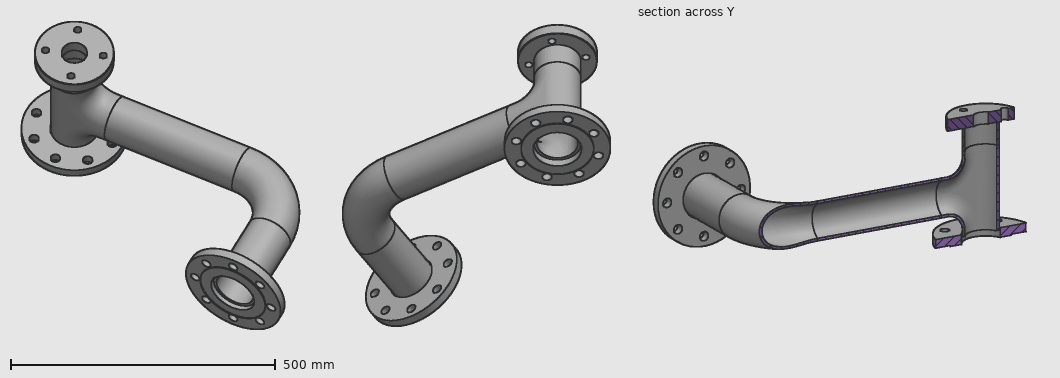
import cadquery as cq
import math

overall_length = 670.0
overall_depth = 370.0
bottom_reach = 100.5
top_reach = 155.0

pipe_inner_radius = 78.0 / 2
pipe_wall = 5.55
pipe_outer_radius = pipe_inner_radius + pipe_wall

tee_reach = 86.0
tee_bend_radius = 72.0
elbow_reach = 114.5
elbow_stub = 1.5
elbow_bend_radius = elbow_reach - elbow_stub

flange_diameter = 200.0
flange_thickness = 20.0
raised_face_diameter = 137.0
raised_face_height = 2.0
flange_bore = 91.0
bolt_circle = 160.0
bolt_hole = 18.0
bolt_count = 8
pipe_setback = 9.5

top_flange_diameter = 150.0
top_flange_thickness = 24.0
top_flange_bore = 48.0
top_flange_chamfer = 1.0
top_bolt_circle = 110.0
top_bolt_hole = 14.0
top_bolt_count = 4
top_bolt_angle = 20.0

flange_radius = flange_diameter / 2
outlet_x = overall_length - flange_diameter
outlet_y = flange_radius - overall_depth
elbow_start_x = outlet_x - elbow_reach
top_flange_base = top_reach - top_flange_thickness


def tube(start, direction, length):
    """Straight pipe from a start point along a direction."""
    plane = cq.Plane(origin=start, normal=direction)
    return cq.Workplane(plane).circle(pipe_outer_radius).circle(pipe_inner_radius).extrude(length)


def half_disc(plane, side, radius):
    """Half disc on one side (+1 or -1) of the local Y axis."""
    return plane.moveTo(0, -radius).threePointArc((side * radius, 0), (0, radius)).close()


def tee_form(radius):
    """Solid tee of one radius, its branch blended into the run by two bends.

    It is put together from pieces that meet face to face: the back half of the run, a flat-sided
    web, and above and below it the inner half of a bend with a half-round stub at its end.
    """
    bend = tee_bend_radius
    stub_length = tee_reach - bend
    base = cq.Workplane("XY", origin=(0, 0, -tee_reach))
    back = half_disc(base, -1, radius).extrude(2 * tee_reach)
    neck = cq.Workplane("YZ", origin=(bend, 0, 0)).circle(radius).extrude(stub_length)

    arc_offset = bend * (1 - math.sqrt(0.5))
    web = (
        cq.Workplane("XZ")
        .moveTo(0, -bend)
        .lineTo(0, bend)
        .threePointArc((arc_offset, arc_offset), (bend, 0))
        .threePointArc((arc_offset, -arc_offset), (0, -bend))
        .close()
        .extrude(radius, both=True)
    )

    bend_end = cq.Workplane("XY", origin=(0, 0, bend))
    stub = half_disc(bend_end, 1, radius).extrude(stub_length)
    inner_bend = half_disc(bend_end, 1, radius).revolve(90, (bend, 0, 0), (bend, -1, 0))

    form = back.union(web)
    for piece in (inner_bend, stub):
        form = form.union(piece).union(piece.mirror("XY"))
    return form.union(neck)


def make_tee():
    return tee_form(pipe_outer_radius).cut(tee_form(pipe_inner_radius))


def make_elbow():
    """Quarter bend turning from +X to -Y, with a short straight stub at each end."""
    bend = (
        cq.Workplane("YZ", origin=(elbow_start_x + elbow_stub, 0, 0))
        .circle(pipe_outer_radius)
        .circle(pipe_inner_radius)
        .revolve(90, (-elbow_bend_radius, 0, 0), (-elbow_bend_radius, -1, 0))
    )
    inlet_stub = tube((elbow_start_x, 0, 0), (1, 0, 0), elbow_stub)
    outlet_stub = tube((outlet_x, -elbow_bend_radius, 0), (0, -1, 0), elbow_stub)
    return bend.union(inlet_stub).union(outlet_stub)


def make_slip_on_flange(face_centre, outward):
    """Raised-face flange whose sealing face looks along the outward direction."""
    plane = cq.Plane(origin=face_centre, xDir=(1, 0, 0), normal=outward)
    raised_face = cq.Workplane(plane).circle(raised_face_diameter / 2).extrude(-flange_thickness)
    return (
        cq.Workplane(plane)
        .workplane(offset=-flange_thickness)
        .circle(flange_radius)
        .extrude(flange_thickness - raised_face_height)
        .union(raised_face)
        .cut(cq.Workplane(plane).circle(flange_bore / 2).extrude(-flange_thickness))
        .cut(
            cq.Workplane(plane)
            .polarArray(bolt_circle / 2, 0, 360, bolt_count)
            .circle(bolt_hole / 2)
            .extrude(-flange_thickness)
        )
    )


def make_top_flange():
    """Thick plate flange with a reduced bore and bolt holes turned off the axes."""
    return (
        cq.Workplane("XY", origin=(0, 0, top_flange_base))
        .circle(top_flange_diameter / 2)
        .extrude(top_flange_thickness)
        .edges()
        .chamfer(top_flange_chamfer)
        .faces(">Z")
        .workplane()
        .hole(top_flange_bore)
        .faces(">Z")
        .workplane()
        .polarArray(top_bolt_circle / 2, top_bolt_angle, 360, top_bolt_count)
        .hole(top_bolt_hole)
    )


tee = make_tee()
elbow = make_elbow()
top_pipe = tube((0, 0, tee_reach), (0, 0, 1), top_flange_base - tee_reach)
long_pipe = tube((tee_reach, 0, 0), (1, 0, 0), elbow_start_x - tee_reach)

outlet_pipe_length = -elbow_reach - (outlet_y + pipe_setback)
outlet_pipe = tube((outlet_x, -elbow_reach, 0), (0, -1, 0), outlet_pipe_length)

top_flange = make_top_flange()
slip_on_flanges = [
    make_slip_on_flange((0, 0, -bottom_reach), (0, 0, -1)),
    make_slip_on_flange((outlet_x, outlet_y, 0), (0, -1, 0)),
]

result = cq.Compound.makeCompound(
    [
        tee.val(),
        elbow.val(),
        top_pipe.val(),
        long_pipe.val(),
        outlet_pipe.val(),
        top_flange.val(),
        *[flange.val() for flange in slip_on_flanges],
    ]
)